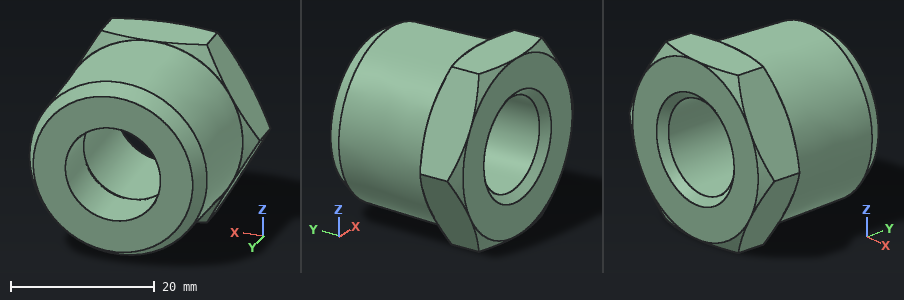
import cadquery as cq
import math

across_corners = 31.18
across_flats = across_corners * math.cos(math.radians(30))
head_length = 7.0
head_chamfer_angle = 30.0

total_length = 23.5
shank_base_diameter = 26.95
shank_tip_diameter = 26.13
end_face_diameter = 23.45
end_chamfer_length = 2.3

bore_mouth_diameter = 14.3
bore_end_diameter = 14.0
bore_step_depth = 15.6
countersink_diameter = 16.68
countersink_angle = 45.0


def revolve_about_y(points):
    """Revolve a closed (radius, y) outline about the Y axis."""
    return cq.Workplane("XY").polyline(points).close().revolve(360, (0, 0, 0), (0, 1, 0))


def make_head():
    """Hexagon with corners on the X axis, chamfered on both faces."""
    hexagon = cq.Workplane("XZ").polygon(6, across_corners).extrude(-head_length)
    face_radius = across_flats / 2
    corner_radius = across_corners / 2
    chamfer_depth = (corner_radius - face_radius) * math.tan(math.radians(head_chamfer_angle))
    envelope = revolve_about_y([
        (0, 0),
        (face_radius, 0),
        (corner_radius, chamfer_depth),
        (corner_radius, head_length - chamfer_depth),
        (face_radius, head_length),
        (0, head_length),
    ])
    return hexagon.intersect(envelope)


def make_shank():
    """Tapered shank reaching from the back of the head to the end face."""
    return revolve_about_y([
        (0, head_length),
        (shank_base_diameter / 2, head_length),
        (shank_tip_diameter / 2, total_length - end_chamfer_length),
        (end_face_diameter / 2, total_length),
        (0, total_length),
    ])


def make_bore():
    """Through bore with a small step, and its countersink."""
    radial_step = (countersink_diameter - bore_mouth_diameter) / 2
    countersink_depth = radial_step / math.tan(math.radians(countersink_angle))
    return revolve_about_y([
        (0, 0),
        (countersink_diameter / 2, 0),
        (bore_mouth_diameter / 2, countersink_depth),
        (bore_mouth_diameter / 2, bore_step_depth),
        (bore_end_diameter / 2, bore_step_depth),
        (bore_end_diameter / 2, total_length),
        (0, total_length),
    ])


result = make_head().union(make_shank()).cut(make_bore())